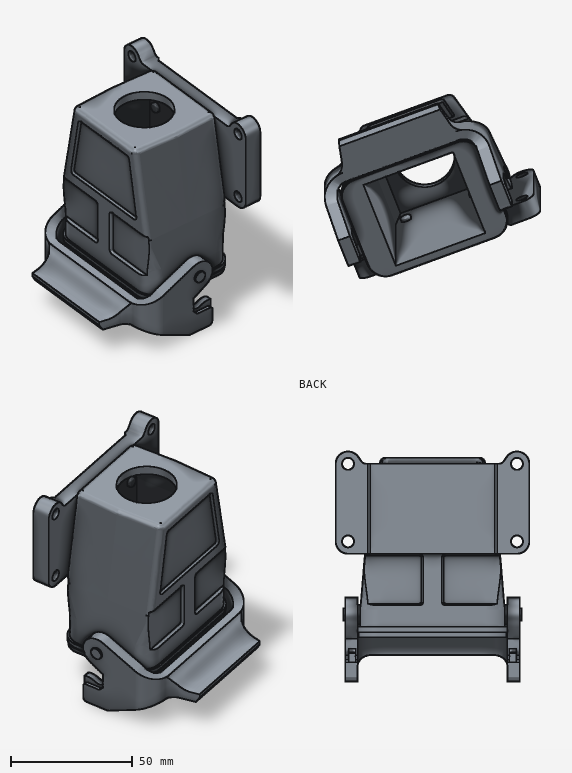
import cadquery as cq
import math


HOOD_HALF_Y = 21.6
HOOD_BOTTOM_Z = -9.5
SKIRT_TOP_Z = 2.0
SHOULDER_Z = 22.8
HOOD_TOP_Z = 64.7
SKIRT_HALF_X = 29.8
SHOULDER_HALF_X = 28.1
TOP_MIDDLE_HALF_X = 21.4
TOP_CORNER_HALF_X = 20.3
SKIRT_RADIUS = 7.5
BLEND_START_Z = 6.7
BLEND_START_RADIUS = 6.7
BLEND_END_Z = 18.7
UPPER_RADIUS = 2.5
TOP_EDGE_RADIUS = 2.4

RIM_HALF_X = 30.8
RIM_HALF_Y = 22.4
RIM_TOP_Z = -5.1
RIM_STEP_Z = -7.4
RIM_STEP = 0.4
RIM_RADIUS = 8.1

CAVITY_HALF_X = 19.8
CAVITY_HALF_Y = 18.7
CAVITY_BEND_Z = 47.8
CAVITY_CEILING_HALF_X = 17.7
CEILING_THICKNESS = 4.0
CABLE_HOLE_DIAMETER = 25.0
STUD_DIAMETER = 4.5
STUD_LENGTH = 1.7
STUD_EDGE_RADIUS = 0.8
STUD_X = 15.1
STUD_Z = 48.8

LABEL_DEPTH = 1.1
LABEL_DRAFT = 32.0
LABEL_TOP_Z = 59.9
LABEL_BOTTOM_Z = 29.8
LABEL_TOP_HALF_X = 16.5
LABEL_BOTTOM_HALF_X = 21.8
LABEL_CORNER_RADIUS = 1.7
GRIP_DEPTH = 1.4
GRIP_DRAFT = 28.0
GRIP_TOP_Z = 25.0
GRIP_BOTTOM_Z = 3.7
GRIP_INNER_X = 3.8
GRIP_OUTER_X = 38.0
GRIP_CORNER_RADIUS = 1.7

PLATE_BACK_Y = 29.4
PLATE_HOLE_X = 34.9
PLATE_TOP_HOLE_Z = 62.1
PLATE_BOTTOM_HOLE_Z = 30.1
PLATE_HOLE_DIAMETER = 4.8
EAR_RADIUS = 5.1
EAR_SWEEP = math.radians(54.6)
EAR_FLANK_LENGTH = 2.5
EAR_ROOT_RADIUS = 2.0
PLATE_RELIEF_DEPTH = 1.1
PLATE_RELIEF_HALF_X = 25.65

PIVOT_DIAMETER = 5.1
PIVOT_END_X = 36.9
PIVOT_SHOULDER_DIAMETER = 8.0

LEVER_OUTER_X = 36.1
LEVER_INNER_X = 30.9
BAR_FRONT_Y = -28.8
BAR_BACK_Y = -24.8
BAR_BOTTOM_Z = -16.8
BEND_X = 25.2
BEND_Y = -19.2
BEND_STEPS = 6
EYE_RADIUS = 7.0
LEVER_BOTTOM_Z = -27.7
ARM_SLOPE = math.radians(25.0)
FOOT_RADIUS = 2.0
THROAT_Y = -2.9
THROAT_TOP_Z = -10.0
THROAT_SLOPE = math.radians(32.0)
LEDGE_Z = -18.7
LEDGE_RADIUS = 1.9
LEDGE_DROP = 0.95
HOOK_SETBACK = 1.5
HOOK_THICKNESS = 2.85
HOOK_BACK_Y = 7.4
HOOK_BACK_Z = -16.1
HOOK_FRONT_Z = -14.25
HOOK_WAVE = [(5.3, -15.7), (2.8, -16.3), (0.2, -17.3), (-1.4, -16.8), (-2.5, -15.4)]

HANDLE_TIP_Y = -41.6
HANDLE_FLAT_Y = -38.2
HANDLE_TOP_Z = -12.35
HANDLE_BEVEL_Y = 1.6
HANDLE_BEVEL_Z = 2.8
HANDLE_TIP_HALF_X = 21.9
HANDLE_NECK_HALF_X = 24.0
HANDLE_NECK_Y = -32.1
HANDLE_ROOT_HALF_X = 28.5
HANDLE_ROOT_Y = -28.3
HANDLE_FLARE_RADIUS = 5.9


def rounded_block(half_x, half_y, bottom_z, top_z, radius):
    """Upright block, centred on Z, with rounded vertical corners."""
    block = cq.Workplane("XY", origin=(0, 0, bottom_z)).rect(2 * half_x, 2 * half_y)
    return block.extrude(top_z - bottom_z).edges("|Z").fillet(radius)


def rounded_section(half_x, half_y, z, radius):
    """Rounded rectangle at height z, as one wire for lofting."""
    sketch = cq.Sketch().rect(2 * half_x, 2 * half_y).vertices().fillet(radius).reset()
    return sketch.faces().val().outerWire().moved(cq.Location(cq.Vector(0, 0, z)))


def six_sided_section(middle_half_x, corner_half_x, z):
    """Outline whose left and right sides each bend outwards at y = 0."""
    points = [
        (-corner_half_x, -HOOD_HALF_Y, z),
        (corner_half_x, -HOOD_HALF_Y, z),
        (middle_half_x, 0, z),
        (corner_half_x, HOOD_HALF_Y, z),
        (-corner_half_x, HOOD_HALF_Y, z),
        (-middle_half_x, 0, z),
    ]
    return cq.Wire.makePolygon([cq.Vector(*point) for point in points], close=True)


def make_upper_shell():
    """Tapered upper part with rounded upright corners and top edge."""
    base = six_sided_section(SHOULDER_HALF_X, SHOULDER_HALF_X, SHOULDER_Z)
    top = six_sided_section(TOP_MIDDLE_HALF_X, TOP_CORNER_HALF_X, HOOD_TOP_Z)
    shell = cq.Workplane(cq.Solid.makeLoft([base, top], True))
    for side in ("<Y", ">Y"):
        shell = shell.faces(side).edges("not #Z").fillet(UPPER_RADIUS)
    return shell.faces(">Z").edges().fillet(TOP_EDGE_RADIUS)


def make_lower_shell():
    """Skirt whose large corner radius shrinks towards the shoulder."""
    corner_radii = [
        (SKIRT_TOP_Z, SKIRT_RADIUS),
        (BLEND_START_Z, BLEND_START_RADIUS),
        (BLEND_END_Z, UPPER_RADIUS),
        (SHOULDER_Z, UPPER_RADIUS),
    ]
    side_slope = (SHOULDER_HALF_X - SKIRT_HALF_X) / (SHOULDER_Z - SKIRT_TOP_Z)
    sections = [
        rounded_section(SKIRT_HALF_X + side_slope * (z - SKIRT_TOP_Z), HOOD_HALF_Y, z, radius)
        for z, radius in corner_radii
    ]
    taper = cq.Workplane(cq.Solid.makeLoft(sections, True))
    skirt = rounded_block(SKIRT_HALF_X, HOOD_HALF_Y, HOOD_BOTTOM_Z, SKIRT_TOP_Z, SKIRT_RADIUS)
    return skirt.union(taper)


def make_rim():
    """Rim around the open end, stepped in slightly below."""
    upper = rounded_block(RIM_HALF_X, RIM_HALF_Y, RIM_STEP_Z, RIM_TOP_Z, RIM_RADIUS)
    lower = rounded_block(
        RIM_HALF_X - RIM_STEP, RIM_HALF_Y - RIM_STEP, HOOD_BOTTOM_Z, RIM_STEP_Z, RIM_RADIUS - RIM_STEP
    )
    return upper.union(lower)


def make_cavity():
    """Straight cavity, narrowed below the ceiling, with the cable hole above it."""
    ceiling_z = HOOD_TOP_Z - CEILING_THICKNESS
    half_profile = [
        (CAVITY_HALF_X, HOOD_BOTTOM_Z),
        (CAVITY_HALF_X, CAVITY_BEND_Z),
        (CAVITY_CEILING_HALF_X, ceiling_z),
    ]
    mirrored = [(-x, z) for x, z in reversed(half_profile)]
    cavity = cq.Workplane("XZ").polyline(half_profile + mirrored).close().extrude(CAVITY_HALF_Y, both=True)
    cable_hole = cq.Workplane("XY", origin=(0, 0, ceiling_z)).circle(CABLE_HOLE_DIAMETER / 2)
    return cavity.union(cable_hole.extrude(CEILING_THICKNESS))


def make_stud(x):
    """Short rounded stud on the inside of the back wall."""
    stud = cq.Workplane("XZ", origin=(x, CAVITY_HALF_Y, STUD_Z)).circle(STUD_DIAMETER / 2)
    stud = stud.extrude(STUD_LENGTH)
    return stud.faces("<Y").edges().fillet(STUD_EDGE_RADIUS)


def make_label_recess():
    """Trapezoidal recess with sloping walls in the front face."""
    outline = [
        (-LABEL_BOTTOM_HALF_X, LABEL_BOTTOM_Z),
        (LABEL_BOTTOM_HALF_X, LABEL_BOTTOM_Z),
        (LABEL_TOP_HALF_X, LABEL_TOP_Z),
        (-LABEL_TOP_HALF_X, LABEL_TOP_Z),
    ]
    sketch = cq.Sketch().polygon(outline + outline[:1]).vertices().fillet(LABEL_CORNER_RADIUS)
    front = cq.Workplane("XZ", origin=(0, -HOOD_HALF_Y, 0))
    return front.placeSketch(sketch).extrude(-LABEL_DEPTH, taper=LABEL_DRAFT)


def make_grip_recess():
    """Recess with sloping walls, open to the right side, in the front face."""
    sketch = (
        cq.Sketch()
        .rect(GRIP_OUTER_X - GRIP_INNER_X, GRIP_TOP_Z - GRIP_BOTTOM_Z)
        .vertices()
        .fillet(GRIP_CORNER_RADIUS)
    )
    centre = ((GRIP_INNER_X + GRIP_OUTER_X) / 2, -HOOD_HALF_Y, (GRIP_TOP_Z + GRIP_BOTTOM_Z) / 2)
    front = cq.Workplane("XZ", origin=centre)
    return front.placeSketch(sketch).extrude(-GRIP_DEPTH, taper=GRIP_DRAFT)


def make_plate():
    """Mounting plate behind the hood, with two ears and four screw holes."""
    side_x = PLATE_HOLE_X + EAR_RADIUS
    bottom_z = PLATE_BOTTOM_HOLE_Z - EAR_RADIUS
    thickness = PLATE_BACK_Y - HOOD_HALF_Y

    ear_start = (side_x, PLATE_TOP_HOLE_Z)
    ear_crown = (PLATE_HOLE_X, PLATE_TOP_HOLE_Z + EAR_RADIUS)
    ear_end_x = PLATE_HOLE_X - EAR_RADIUS * math.sin(EAR_SWEEP)
    ear_end_z = PLATE_TOP_HOLE_Z + EAR_RADIUS * math.cos(EAR_SWEEP)
    flank_x = ear_end_x - EAR_FLANK_LENGTH * math.cos(EAR_SWEEP)
    flank_z = ear_end_z - EAR_FLANK_LENGTH * math.sin(EAR_SWEEP)
    root_x = flank_x - EAR_ROOT_RADIUS * math.sin(EAR_SWEEP)
    root_z = flank_z - EAR_ROOT_RADIUS * (1 - math.cos(EAR_SWEEP))

    half_plate = (
        cq.Workplane("XZ", origin=(0, PLATE_BACK_Y, 0))
        .moveTo(0, bottom_z)
        .lineTo(PLATE_HOLE_X, bottom_z)
        .radiusArc((side_x, PLATE_BOTTOM_HOLE_Z), -EAR_RADIUS)
        .lineTo(*ear_start)
        .radiusArc(ear_crown, -EAR_RADIUS)
        .radiusArc((ear_end_x, ear_end_z), -EAR_RADIUS)
        .lineTo(flank_x, flank_z)
        .radiusArc((root_x, root_z), EAR_ROOT_RADIUS)
        .lineTo(0, root_z)
        .close()
        .extrude(thickness)
    )
    plate = half_plate.union(half_plate.mirror("YZ"))

    hole_heights = (PLATE_BOTTOM_HOLE_Z, PLATE_TOP_HOLE_Z)
    hole_places = [(x, z) for x in (-PLATE_HOLE_X, PLATE_HOLE_X) for z in hole_heights]
    holes = (
        cq.Workplane("XZ", origin=(0, PLATE_BACK_Y, 0))
        .pushPoints(hole_places)
        .circle(PLATE_HOLE_DIAMETER / 2)
        .extrude(thickness)
    )

    relief_floor_y = PLATE_BACK_Y - PLATE_RELIEF_DEPTH
    relief_mouth_half_x = PLATE_RELIEF_HALF_X + PLATE_RELIEF_DEPTH
    relief = (
        cq.Workplane("XY", origin=(0, 0, bottom_z))
        .moveTo(-PLATE_RELIEF_HALF_X, relief_floor_y)
        .lineTo(PLATE_RELIEF_HALF_X, relief_floor_y)
        .lineTo(relief_mouth_half_x, PLATE_BACK_Y)
        .lineTo(-relief_mouth_half_x, PLATE_BACK_Y)
        .close()
        .extrude(root_z - bottom_z)
    )
    return plate.cut(holes).cut(relief)


def make_pivot():
    """Pivot pin and its shoulder on the right side."""
    pin = cq.Workplane("YZ", origin=(CAVITY_HALF_X, 0, 0)).circle(PIVOT_DIAMETER / 2)
    shoulder = cq.Workplane("YZ", origin=(CAVITY_HALF_X, 0, 0)).circle(PIVOT_SHOULDER_DIAMETER / 2)
    return pin.extrude(PIVOT_END_X - CAVITY_HALF_X).union(shoulder.extrude(LEVER_INNER_X - CAVITY_HALF_X))


def make_hood():
    hood = make_lower_shell().union(make_upper_shell()).union(make_rim())

    grip_recess = make_grip_recess()
    front_grips = grip_recess.union(grip_recess.mirror("YZ"))
    hood = hood.cut(front_grips).cut(front_grips.mirror("XZ")).cut(make_label_recess())

    pivot = make_pivot()
    hood = hood.union(make_plate()).union(pivot).union(pivot.mirror("YZ")).cut(make_cavity())
    for x in (-STUD_X, STUD_X):
        hood = hood.union(make_stud(x))
    return hood


def side_profile(start_x):
    """Workplane across the lever: its first axis is Y, its second axis is Z."""
    return cq.Workplane("YZ", origin=(start_x, 0, 0))


def arm_top_z(y):
    """Height of the arm's upper slope, tangent to the eye."""
    return EYE_RADIUS / math.cos(ARM_SLOPE) + y * math.tan(ARM_SLOPE)


def arm_bottom_z(y):
    """Height of the arm's lower slope, which rises to the underside of the bar."""
    return BAR_BOTTOM_Z - (y - BAR_FRONT_Y) * math.tan(ARM_SLOPE)


def make_leg():
    """Right leg: pivot eye, throat, ledge and sloping arm up to the start of the bend."""
    arm_start = (-EYE_RADIUS * math.sin(ARM_SLOPE), EYE_RADIUS * math.cos(ARM_SLOPE))
    eye_end = (EYE_RADIUS * math.sin(THROAT_SLOPE), -EYE_RADIUS * math.cos(THROAT_SLOPE))
    leg_thickness = LEVER_OUTER_X - LEVER_INNER_X
    tail_y = BAR_FRONT_Y + (BAR_BOTTOM_Z - LEVER_BOTTOM_Z) / math.tan(ARM_SLOPE)
    leg = (
        side_profile(LEVER_INNER_X)
        .moveTo(*arm_start)
        .threePointArc((EYE_RADIUS, 0), eye_end)
        .lineTo(THROAT_Y, THROAT_TOP_Z)
        .lineTo(THROAT_Y, LEDGE_Z + LEDGE_RADIUS)
        .lineTo(THROAT_Y + LEDGE_RADIUS, LEDGE_Z)
        .lineTo(EYE_RADIUS - LEDGE_RADIUS, LEDGE_Z)
        .radiusArc((EYE_RADIUS, LEDGE_Z - LEDGE_DROP), LEDGE_RADIUS)
        .lineTo(EYE_RADIUS, LEVER_BOTTOM_Z + FOOT_RADIUS)
        .radiusArc((EYE_RADIUS - FOOT_RADIUS, LEVER_BOTTOM_Z), FOOT_RADIUS)
        .lineTo(tail_y, LEVER_BOTTOM_Z)
        .lineTo(BEND_Y, arm_bottom_z(BEND_Y))
        .lineTo(BEND_Y, arm_top_z(BEND_Y))
        .close()
        .extrude(leg_thickness)
    )
    pivot_hole = side_profile(LEVER_INNER_X).circle(PIVOT_DIAMETER / 2).extrude(leg_thickness)
    return leg.cut(pivot_hole)


def bend_section(angle):
    """Upright cross-section of the right bend, from the leg (0) round to the bar (90 degrees)."""
    inner_x = BEND_X + (LEVER_INNER_X - BEND_X) * math.cos(angle)
    outer_x = BEND_X + (LEVER_OUTER_X - BEND_X) * math.cos(angle)
    inner_y = BEND_Y + (BAR_BACK_Y - BEND_Y) * math.sin(angle)
    outer_y = BEND_Y + (BAR_FRONT_Y - BEND_Y) * math.sin(angle)
    top_z = arm_top_z(outer_y)
    bottom_z = arm_bottom_z(outer_y)
    corners = [
        cq.Vector(inner_x, inner_y, bottom_z),
        cq.Vector(outer_x, outer_y, bottom_z),
        cq.Vector(outer_x, outer_y, top_z),
        cq.Vector(inner_x, inner_y, top_z),
    ]
    return cq.Wire.makePolygon(corners, close=True)


def make_bend():
    """Right bend, narrowing in height from the leg to the bar."""
    sections = [bend_section(math.pi / 2 * step / BEND_STEPS) for step in range(BEND_STEPS + 1)]
    return cq.Workplane(cq.Solid.makeLoft(sections))


def make_bar():
    """Straight bar joining the two bends."""
    bar = cq.Workplane("XY", origin=(0, (BAR_FRONT_Y + BAR_BACK_Y) / 2, BAR_BOTTOM_Z))
    return bar.rect(2 * BEND_X, BAR_BACK_Y - BAR_FRONT_Y).extrude(arm_top_z(BAR_FRONT_Y) - BAR_BOTTOM_Z)


def make_hook():
    """Wavy catch on the inner layer of the right leg."""
    hook_foot_z = LEDGE_Z - LEDGE_DROP
    return (
        side_profile(LEVER_OUTER_X - HOOK_SETBACK - HOOK_THICKNESS)
        .moveTo(HOOK_BACK_Y, HOOK_BACK_Z)
        .spline(HOOK_WAVE, includeCurrent=True)
        .lineTo(THROAT_Y, HOOK_FRONT_Z)
        .lineTo(THROAT_Y, hook_foot_z)
        .lineTo(HOOK_BACK_Y, hook_foot_z)
        .close()
        .extrude(HOOK_THICKNESS)
    )


def make_handle():
    """Flared handle with a hollow upper face."""
    bar_top_z = arm_top_z(BAR_FRONT_Y)
    side = (
        side_profile(-HANDLE_ROOT_HALF_X)
        .moveTo(HANDLE_ROOT_Y, bar_top_z)
        .lineTo(HANDLE_ROOT_Y, BAR_BOTTOM_Z)
        .lineTo(HANDLE_TIP_Y + HANDLE_BEVEL_Y, BAR_BOTTOM_Z)
        .lineTo(HANDLE_TIP_Y, BAR_BOTTOM_Z + HANDLE_BEVEL_Z)
        .lineTo(HANDLE_TIP_Y, HANDLE_TOP_Z)
        .lineTo(HANDLE_FLAT_Y, HANDLE_TOP_Z)
        .tangentArcPoint((BAR_FRONT_Y, bar_top_z), relative=False)
        .close()
        .extrude(2 * HANDLE_ROOT_HALF_X)
    )
    half_plan = (
        cq.Workplane("XY", origin=(0, 0, BAR_BOTTOM_Z))
        .moveTo(0, HANDLE_ROOT_Y)
        .lineTo(HANDLE_ROOT_HALF_X, HANDLE_ROOT_Y)
        .radiusArc((HANDLE_NECK_HALF_X, HANDLE_NECK_Y), -HANDLE_FLARE_RADIUS)
        .lineTo(HANDLE_TIP_HALF_X, HANDLE_TIP_Y)
        .lineTo(0, HANDLE_TIP_Y)
        .close()
        .extrude(bar_top_z - BAR_BOTTOM_Z)
    )
    return side.intersect(half_plan.union(half_plan.mirror("YZ")))


def make_lever():
    right_arm = make_leg().union(make_hook()).union(make_bend())
    return make_bar().union(right_arm).union(right_arm.mirror("YZ")).union(make_handle())


hood = make_hood()
lever = make_lever()
result = cq.Compound.makeCompound([hood.solids().val(), lever.solids().val()])